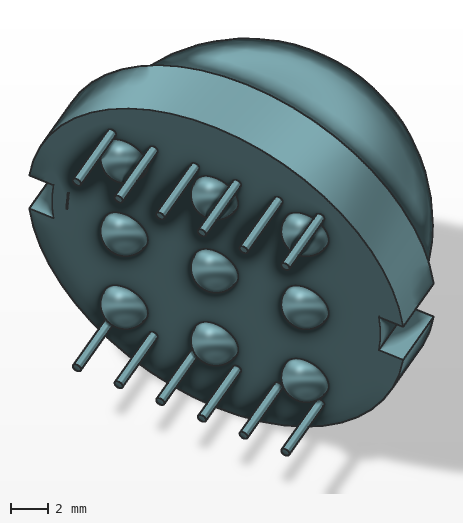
import cadquery as cq
import math

disc_radius = 11.48
disc_thickness = 3.5
dome_radius = 10.0
notch_height = 2.7
bump_radius = 1.35
bump_pitch_x = 5.5
bump_pitch_z = 6.0
bumps_per_side = 3
pin_diameter = 0.5
pin_length = 4.0
pin_row_spacing = 15.25
pins_per_row = 6
pin_pitch = pin_row_spacing / pins_per_row
pin_rows = 2
mark_x = -9.07
mark_z = 0.53
mark_length = 1.33
mark_width = 0.07
mark_depth = 0.1
mark_lean = 4.0
overlap = 0.23


def disc(radius):
    """Disc of the base's thickness, centred on the Y axis."""
    return cq.Workplane("XZ").circle(radius).extrude(-disc_thickness)


def notched_base():
    """Base disc with two side notches whose floors follow the dome's radius."""
    notch_band = cq.Workplane("XY").box(
        2 * disc_radius, disc_thickness, notch_height, centered=(True, False, True)
    )
    return disc(disc_radius).cut(notch_band).union(disc(dome_radius))


def dome():
    """Hemisphere standing on the back face of the base."""
    arc_midpoint = dome_radius * math.sin(math.radians(45))
    return (
        cq.Workplane("XY", origin=(0, disc_thickness, 0))
        .lineTo(dome_radius, 0)
        .threePointArc((arc_midpoint, arc_midpoint), (0, dome_radius))
        .close()
        .revolve(360, (0, 0), (0, 1))
    )


def bumps():
    """Grid of balls half sunk into the pin face."""
    return (
        cq.Workplane("XZ")
        .rarray(bump_pitch_x, bump_pitch_z, bumps_per_side, bumps_per_side)
        .sphere(bump_radius)
    )


def pins():
    """Two rows of round pins projecting from the pin face."""
    return (
        cq.Workplane("XZ", origin=(0, overlap, 0))
        .rarray(pin_pitch, pin_row_spacing, pins_per_row, pin_rows)
        .circle(pin_diameter / 2)
        .extrude(overlap + pin_length)
    )


def orientation_mark():
    """Thin leaning slit cut into the pin face beside the -X notch."""
    return (
        cq.Workplane("XZ", origin=(mark_x, 0, mark_z))
        .transformed(rotate=(0, 0, -mark_lean))
        .rect(mark_width, mark_length)
        .extrude(-mark_depth)
    )


result = notched_base().cut(orientation_mark()).union(dome()).union(bumps()).union(pins())